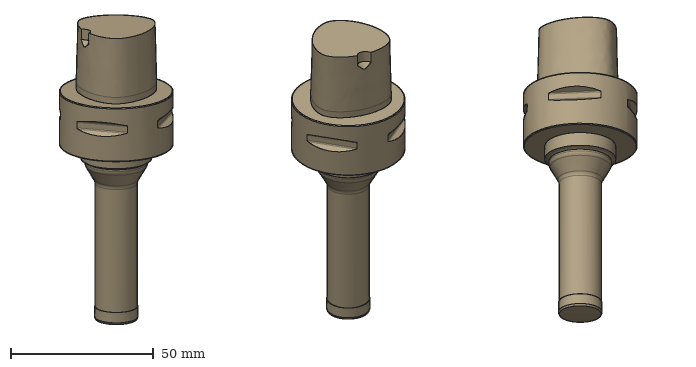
import cadquery as cq
import math

TAPER_TOP_Z = 23.9
TAPER_BASE_Z = 2.4
FLANGE_BOTTOM_Z = -19.9
COLLAR_EDGE_Z = -24.7
COLLAR_BOTTOM_Z = -25.1
NECK_TOP_Z = -25.6
NECK_CURVE_TOP_Z = -26.2
NECK_CURVE_BOTTOM_Z = -34.0
HEAD_TOP_Z = -79.3
HEAD_EDGE_Z = -83.0
HEAD_RIM_Z = -83.8
OVERALL_LENGTH = 108.0
TIP_Z = TAPER_TOP_Z - OVERALL_LENGTH

FLANGE_RADIUS = 40.0 / 2
FLANGE_CHAMFER = 0.3
COLLAR_RADIUS = 25.0 / 2
COLLAR_CHAMFER_WIDTH = 0.6
NECK_RADIUS = 22.0 / 2
SHANK_RADIUS = 14.9 / 2
NECK_SLOPE = math.radians(30)
HEAD_TOP_RADIUS = 7.6
HEAD_RADIUS = 7.7
HEAD_RIM_RADIUS = 7.3

LOBE_HEIGHT = 1.0
TAPER_TOP_MEAN_RADIUS = 13.6
TAPER_BASE_MEAN_RADIUS = 14.1
LOBE_COUNT = 3
OUTLINE_POINTS = 48

KEYWAY_RADIUS = 2.8
KEYWAY_AXIS_Y = -13.5
KEYWAY_DEPTH = 3.9
KEYWAY_POINT_DEPTH = 2.6

GROOVE_COUNT = 4
GROOVE_FIRST_ANGLE = 45.0
GROOVE_CENTRE_Z = -8.0
GROOVE_FLOOR_HEIGHT = 2.6
GROOVE_FLOOR_DISTANCE = 17.7
GROOVE_WALL_SLOPE = math.radians(30)
GROOVE_FILLET = 0.4
GROOVE_OVERSHOOT = 1.1


def lobed_outline(mean_radius, z):
    """Closed three-lobed wire at height z, with one lobe on +Y."""

    def point(angle):
        phase = LOBE_COUNT * (angle - math.pi / 2)
        reach = mean_radius + LOBE_HEIGHT * math.cos(phase)
        drift = -LOBE_COUNT * LOBE_HEIGHT * math.sin(phase)
        x = reach * math.cos(angle) - drift * math.sin(angle)
        y = reach * math.sin(angle) + drift * math.cos(angle)
        return cq.Vector(x, y, z)

    points = [point(2 * math.pi * i / OUTLINE_POINTS) for i in range(OUTLINE_POINTS)]
    return cq.Wire.assembleEdges([cq.Edge.makeSpline(points, periodic=True)])


def make_taper():
    """Tapered polygon shank on a short straight base of the same outline."""
    base = lobed_outline(TAPER_BASE_MEAN_RADIUS, 0)
    straight = cq.Solid.extrudeLinear(base, [], cq.Vector(0, 0, TAPER_BASE_Z))
    lower = lobed_outline(TAPER_BASE_MEAN_RADIUS, TAPER_BASE_Z)
    upper = lobed_outline(TAPER_TOP_MEAN_RADIUS, TAPER_TOP_Z)
    tapered = cq.Solid.makeLoft([lower, upper], True)
    return cq.Workplane(tapered).union(cq.Workplane(straight))


def make_keyway():
    """Vertical drilled cutter with a conical point, open to the -Y side."""
    floor_z = TAPER_TOP_Z - KEYWAY_DEPTH
    return (
        cq.Workplane("XZ", origin=(0, KEYWAY_AXIS_Y, 0))
        .moveTo(0, TAPER_TOP_Z)
        .lineTo(KEYWAY_RADIUS, TAPER_TOP_Z)
        .lineTo(KEYWAY_RADIUS, floor_z)
        .lineTo(0, floor_z - KEYWAY_POINT_DEPTH)
        .close()
        .revolve(360, (0, 0), (0, 1))
    )


def make_flange():
    height = -FLANGE_BOTTOM_Z
    return (
        cq.Workplane("XY", origin=(0, 0, FLANGE_BOTTOM_Z))
        .circle(FLANGE_RADIUS)
        .extrude(height)
        .edges()
        .chamfer(FLANGE_CHAMFER)
    )


def make_groove(angle):
    """Straight trapezoidal groove cutter with rounded floor corners, turned to the given angle about Z."""
    outer = FLANGE_RADIUS + GROOVE_OVERSHOOT
    half_floor = GROOVE_FLOOR_HEIGHT / 2
    half_mouth = half_floor + (outer - GROOVE_FLOOR_DISTANCE) * math.tan(GROOVE_WALL_SLOPE)
    profile = [
        (GROOVE_FLOOR_DISTANCE, GROOVE_CENTRE_Z - half_floor),
        (outer, GROOVE_CENTRE_Z - half_mouth),
        (outer, GROOVE_CENTRE_Z + half_mouth),
        (GROOVE_FLOOR_DISTANCE, GROOVE_CENTRE_Z + half_floor),
    ]
    groove = cq.Workplane("XZ").polyline(profile).close().extrude(FLANGE_RADIUS, both=True)
    groove = groove.faces("<X").edges("|Y").fillet(GROOVE_FILLET)
    return groove.rotate((0, 0, 0), (0, 0, 1), angle)


def make_stem():
    """Collar, S-curved neck and round shank, turned as one piece below the flange."""
    drop = NECK_CURVE_TOP_Z - NECK_CURVE_BOTTOM_Z
    inset = NECK_RADIUS - SHANK_RADIUS
    sine = math.sin(NECK_SLOPE)
    cosine = math.cos(NECK_SLOPE)
    arc_radius = (drop * sine - inset * cosine) / (2 * (1 - cosine))
    upper_centre = NECK_RADIUS - arc_radius
    lower_centre = SHANK_RADIUS + arc_radius

    def upper_arc(angle):
        return (
            upper_centre + arc_radius * math.cos(angle),
            NECK_CURVE_TOP_Z - arc_radius * math.sin(angle),
        )

    def lower_arc(angle):
        return (
            lower_centre - arc_radius * math.cos(angle),
            NECK_CURVE_BOTTOM_Z + arc_radius * math.sin(angle),
        )

    return (
        cq.Workplane("XZ")
        .moveTo(0, FLANGE_BOTTOM_Z)
        .lineTo(COLLAR_RADIUS, FLANGE_BOTTOM_Z)
        .lineTo(COLLAR_RADIUS, COLLAR_EDGE_Z)
        .lineTo(COLLAR_RADIUS - COLLAR_CHAMFER_WIDTH, COLLAR_BOTTOM_Z)
        .lineTo(NECK_RADIUS, NECK_TOP_Z)
        .lineTo(NECK_RADIUS, NECK_CURVE_TOP_Z)
        .threePointArc(upper_arc(NECK_SLOPE / 2), upper_arc(NECK_SLOPE))
        .lineTo(*lower_arc(NECK_SLOPE))
        .threePointArc(lower_arc(NECK_SLOPE / 2), lower_arc(0))
        .lineTo(SHANK_RADIUS, HEAD_TOP_Z)
        .lineTo(0, HEAD_TOP_Z)
        .close()
        .revolve(360, (0, 0), (0, 1))
    )


def make_holder():
    flange = make_flange()
    for i in range(GROOVE_COUNT):
        angle = GROOVE_FIRST_ANGLE + i * 360.0 / GROOVE_COUNT
        flange = flange.cut(make_groove(angle))
    taper = make_taper().cut(make_keyway())
    return flange.union(taper).union(make_stem())


def make_cutting_head():
    """Slightly tapered round head with a chamfered rim and a shallow domed end."""
    dome_height = HEAD_RIM_Z - TIP_Z
    dome_radius = (HEAD_RIM_RADIUS**2 + dome_height**2) / (2 * dome_height)
    half_angle = math.asin(HEAD_RIM_RADIUS / dome_radius) / 2
    dome_middle = (
        dome_radius * math.sin(half_angle),
        TIP_Z + dome_radius * (1 - math.cos(half_angle)),
    )
    return (
        cq.Workplane("XZ")
        .moveTo(0, HEAD_TOP_Z)
        .lineTo(HEAD_TOP_RADIUS, HEAD_TOP_Z)
        .lineTo(HEAD_RADIUS, HEAD_EDGE_Z)
        .lineTo(HEAD_RIM_RADIUS, HEAD_RIM_Z)
        .threePointArc(dome_middle, (0, TIP_Z))
        .close()
        .revolve(360, (0, 0), (0, 1))
    )


holder = make_holder()
cutting_head = make_cutting_head()
result = cq.Compound.makeCompound([holder.val(), cutting_head.val()])